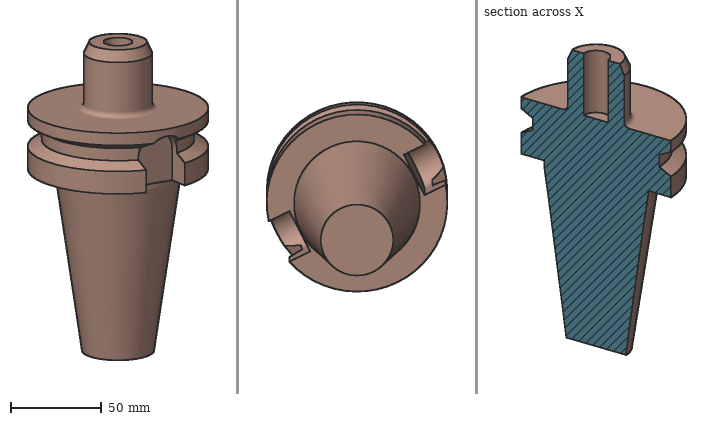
import cadquery as cq

TOTAL_HEIGHT = 178.0

TAPER_LENGTH = 101.8
TAPER_RATIO = 7 / 24
NECK_RADIUS = 34.9
NECK_HEIGHT = 3.0
TAPER_END_RADIUS = NECK_RADIUS - TAPER_LENGTH * TAPER_RATIO / 2

FLANGE_RADIUS = 50.0
FLANGE_HEIGHT = 35.0
GROOVE_RADIUS = 42.4
LOWER_RIM_HEIGHT = 13.0
UPPER_RIM_HEIGHT = 7.1
GROOVE_FLOOR_HEIGHT = 7.1

PILOT_RADIUS = 19.0
PILOT_TIP_RADIUS = 16.0
PILOT_TIP_HEIGHT = 6.4
PILOT_ROOT_FILLET = 3.0

BORE_RADIUS = 8.0

SLOT_WIDTH = 25.5
SLOT_HEIGHT = 31.0
SLOT_FLOOR_X = 35.5

FLANGE_BOTTOM = TAPER_LENGTH + NECK_HEIGHT
FLANGE_TOP = FLANGE_BOTTOM + FLANGE_HEIGHT
BORE_DEPTH = TOTAL_HEIGHT - FLANGE_TOP


def make_body():
    """Revolve the half profile of shank, flange and pilot."""
    lower_rim_top = FLANGE_BOTTOM + LOWER_RIM_HEIGHT
    upper_rim_bottom = FLANGE_TOP - UPPER_RIM_HEIGHT
    groove_middle = (lower_rim_top + upper_rim_bottom) / 2
    groove_floor_bottom = groove_middle - GROOVE_FLOOR_HEIGHT / 2
    groove_floor_top = groove_middle + GROOVE_FLOOR_HEIGHT / 2
    profile = (
        cq.Workplane("XZ")
        .lineTo(TAPER_END_RADIUS, 0)
        .lineTo(NECK_RADIUS, TAPER_LENGTH)
        .lineTo(NECK_RADIUS, FLANGE_BOTTOM)
        .lineTo(FLANGE_RADIUS, FLANGE_BOTTOM)
        .lineTo(FLANGE_RADIUS, lower_rim_top)
        .lineTo(GROOVE_RADIUS, groove_floor_bottom)
        .lineTo(GROOVE_RADIUS, groove_floor_top)
        .lineTo(FLANGE_RADIUS, upper_rim_bottom)
        .lineTo(FLANGE_RADIUS, FLANGE_TOP)
        .lineTo(PILOT_RADIUS + PILOT_ROOT_FILLET, FLANGE_TOP)
        .radiusArc((PILOT_RADIUS, FLANGE_TOP + PILOT_ROOT_FILLET), PILOT_ROOT_FILLET)
        .lineTo(PILOT_RADIUS, TOTAL_HEIGHT - PILOT_TIP_HEIGHT)
        .lineTo(PILOT_TIP_RADIUS, TOTAL_HEIGHT)
        .lineTo(0, TOTAL_HEIGHT)
        .close()
    )
    return profile.revolve(360, (0, 0, 0), (0, 1, 0))


def make_slot(side):
    """Round-topped slot, open at the flange bottom; side is -1 or +1 along X."""
    half_width = SLOT_WIDTH / 2
    slot_top = FLANGE_BOTTOM + SLOT_HEIGHT
    arc_start = slot_top - half_width
    return (
        cq.Workplane("YZ", origin=(side * SLOT_FLOOR_X, 0, 0))
        .moveTo(-half_width, FLANGE_BOTTOM)
        .lineTo(-half_width, arc_start)
        .threePointArc((0, slot_top), (half_width, arc_start))
        .lineTo(half_width, FLANGE_BOTTOM)
        .close()
        .extrude(side * FLANGE_RADIUS)
    )


def make_bore():
    """Flat-bottomed bore reaching down to the flange top."""
    return (
        cq.Workplane("XY", origin=(0, 0, FLANGE_TOP))
        .circle(BORE_RADIUS)
        .extrude(BORE_DEPTH)
    )


result = make_body().cut(make_bore())
for slot_side in (-1, 1):
    result = result.cut(make_slot(slot_side))